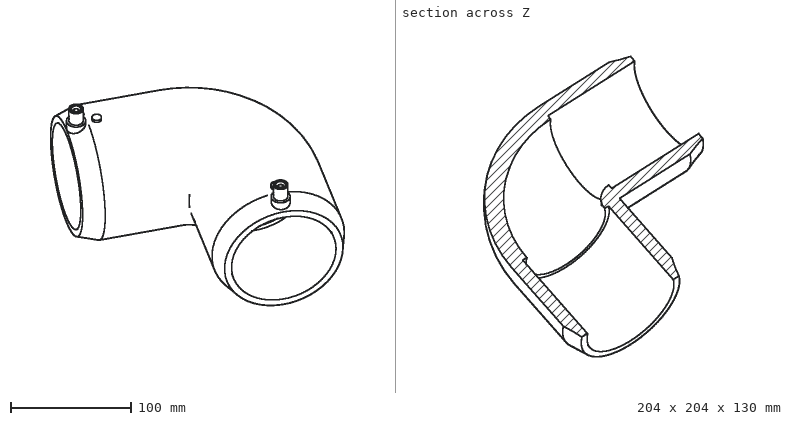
import cadquery as cq

overall_length = 204.0
overall_height = 130.0
body_diameter = 114.0
mouth_diameter = 102.0
socket_diameter = 90.0
bore_diameter = 82.0
taper_length = 17.7

collar_diameter = 16.0
collar_rise = 2.2
collar_slope_height = 0.5
terminal_diameter = 12.0
well_diameter = 8.0
well_depth = 8.2
contact_diameter = 5.0
contact_recess = 2.0
terminal_edge = 0.6
front_terminal_setback = 8.2
side_terminal_setback = 10.2

indicator_diameter = 8.0
indicator_rise = 2.0
indicator_setback = 26.0

body_radius = body_diameter / 2
mouth_radius = mouth_diameter / 2
socket_radius = socket_diameter / 2
leg_length = overall_length - body_diameter
terminal_top = overall_height - body_radius
collar_top = body_radius + collar_rise
fitting_root = socket_radius



def bend(diameter):
    """Quarter turn of a circular section about the vertical line through the origin."""
    path = cq.Workplane("XY").moveTo(0, body_radius).radiusArc((-body_radius, 0), -body_radius)
    return cq.Workplane("YZ").center(body_radius, 0).circle(diameter / 2).sweep(path)


def leg_body():
    """Outside of a leg, with its tapered mouth, along -Y from the origin."""
    half_section = [
        (0, 0),
        (body_radius, 0),
        (body_radius, taper_length - leg_length),
        (mouth_radius, -leg_length),
        (0, -leg_length),
    ]
    return cq.Workplane("XY").polyline(half_section).close().revolve(360, (0, 0), (0, 1))


def post(diameter, bottom, top):
    """Upright cylinder between two heights."""
    return cq.Workplane("XY").workplane(offset=bottom).circle(diameter / 2).extrude(top - bottom)


def terminal():
    """Hollow terminal with a contact pin in its well, standing on a collar with a sloping top."""
    well_floor = terminal_top - well_depth
    sleeve = post(terminal_diameter, fitting_root, terminal_top)
    sleeve = sleeve.cut(post(well_diameter, well_floor, terminal_top))
    sleeve = sleeve.faces(">Z").chamfer(terminal_edge)
    contact = post(contact_diameter, well_floor, terminal_top - contact_recess)
    contact = contact.faces(">Z").chamfer(terminal_edge)
    collar = post(collar_diameter, fitting_root, collar_top)
    slope = cq.Solid.makeCone(
        collar_diameter / 2, terminal_diameter / 2, collar_slope_height, pnt=(0, 0, collar_top)
    )
    return collar.union(cq.Workplane(slope)).union(sleeve).union(contact)


def indicator():
    """Small round fusion indicator standing on the leg."""
    return post(indicator_diameter, fitting_root, body_radius + indicator_rise)


def leg(terminal_setback):
    """Socketed leg along -Y from the origin, its terminal set back from the mouth."""
    socket = cq.Workplane("XZ").circle(socket_radius).extrude(leg_length)
    solid = leg_body()
    solid = solid.union(terminal().translate((0, terminal_setback - leg_length, 0)))
    solid = solid.union(indicator().translate((0, indicator_setback - leg_length, 0)))
    return solid.cut(socket)


elbow = bend(body_diameter).cut(bend(bore_diameter))
front_leg = leg(front_terminal_setback).translate((-body_radius, 0, 0))
side_leg = leg(side_terminal_setback).rotate((0, 0, 0), (0, 0, 1), 90).translate((0, body_radius, 0))

result = elbow.union(front_leg).union(side_leg)